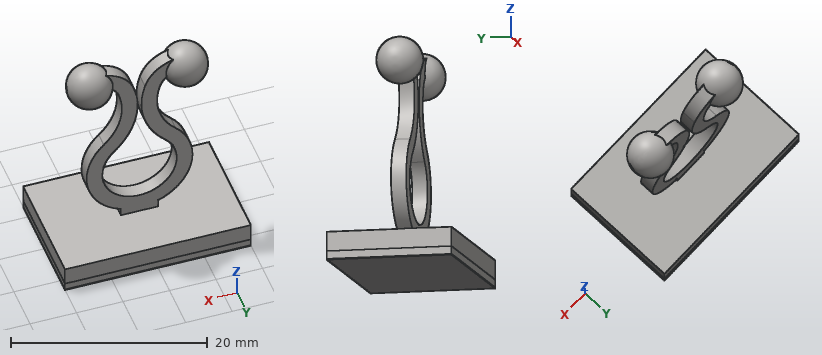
import cadquery as cq
import math

base_length = 20.0
base_width = 13.0
film_thickness = 0.1
foam_thickness = 0.8
plate_thickness = 2.0
foam_bottom = film_thickness
plate_bottom = foam_bottom + foam_thickness
plate_top = plate_bottom + plate_thickness

strip_thickness = 1.7
strip_width = 1.6

loop_inner_radius = 4.0
loop_outer_radius = loop_inner_radius + strip_thickness
loop_clearance = 0.5
loop_centre = (0.0, plate_top + loop_clearance + loop_outer_radius)

throat_gap = 0.4
throat_near_radius = 7.75
throat_far_radius = throat_near_radius - strip_thickness
throat_centre_x = throat_gap / 2 + throat_near_radius
loop_to_throat = loop_inner_radius + throat_near_radius
loop_to_throat_angle = math.degrees(math.acos(throat_centre_x / loop_to_throat))
throat_centre = (
    throat_centre_x,
    loop_centre[1] + math.sqrt(loop_to_throat**2 - throat_centre_x**2),
)

tip_outer_radius = 4.1
tip_inner_radius = tip_outer_radius - strip_thickness
tip_start_angle = 162.0
tip_offset = throat_near_radius - tip_outer_radius
tip_offset_angle = math.radians(tip_start_angle)
tip_centre = (
    throat_centre[0] + tip_offset * math.cos(tip_offset_angle),
    throat_centre[1] + tip_offset * math.sin(tip_offset_angle),
)
tip_end_angle = 80.0

ball_radius = 2.4
ball_x = 5.13
overall_height = 23.6
ball_z = overall_height - ball_radius

stem_length = 4.0


def polar(centre, radius, angle):
    """Point on a circle in the XZ plane, with the angle in degrees from +X."""
    turn = math.radians(angle)
    return (centre[0] + radius * math.cos(turn), centre[1] + radius * math.sin(turn))


def add_arc(outline, centre, radius, start_angle, end_angle):
    """Continue the outline along a circular arc."""
    middle = polar(centre, radius, (start_angle + end_angle) / 2)
    return outline.threePointArc(middle, polar(centre, radius, end_angle))


def slab(bottom, thickness):
    """Rectangular layer of the base."""
    return (
        cq.Workplane("XY")
        .workplane(offset=bottom)
        .rect(base_length, base_width)
        .extrude(thickness)
    )


def make_arm():
    """The +X half of the spring strip, from the bottom of the loop to the tip."""
    loop_bottom = -90.0
    loop_end = loop_to_throat_angle
    throat_start = 180.0 + loop_to_throat_angle
    outline = cq.Workplane("XZ").moveTo(*polar(loop_centre, loop_outer_radius, loop_bottom))
    outline = add_arc(outline, loop_centre, loop_outer_radius, loop_bottom, loop_end)
    outline = add_arc(outline, throat_centre, throat_far_radius, throat_start, tip_start_angle)
    outline = add_arc(outline, tip_centre, tip_inner_radius, tip_start_angle, tip_end_angle)
    outline = outline.lineTo(*polar(tip_centre, tip_outer_radius, tip_end_angle))
    outline = add_arc(outline, tip_centre, tip_outer_radius, tip_end_angle, tip_start_angle)
    outline = add_arc(outline, throat_centre, throat_near_radius, tip_start_angle, throat_start)
    outline = add_arc(outline, loop_centre, loop_inner_radius, loop_end, loop_bottom)
    return outline.close().extrude(strip_width / 2, both=True)


def make_stem():
    """Block that fills from the plate up to the loop, trimmed by the loop opening."""
    stem_height = loop_centre[1] - plate_top
    block = (
        cq.Workplane("XY")
        .workplane(offset=plate_top)
        .rect(stem_length, strip_width)
        .extrude(stem_height)
    )
    opening = (
        cq.Workplane("XZ")
        .center(*loop_centre)
        .circle(loop_inner_radius)
        .extrude(strip_width, both=True)
    )
    return block.cut(opening)


def make_clip():
    """Plate, stem, spring strip and balls as one moulded body."""
    arm = make_arm()
    clip = slab(plate_bottom, plate_thickness).union(make_stem())
    clip = clip.union(arm).union(arm.mirror("YZ"))
    for side in (-1, 1):
        ball = cq.Workplane("XY").sphere(ball_radius).translate((side * ball_x, 0, ball_z))
        clip = clip.union(ball)
    return clip


clip = make_clip()
foam_pad = slab(foam_bottom, foam_thickness)
release_film = slab(0.0, film_thickness)

result = cq.Compound.makeCompound([clip.solids().val(), foam_pad.val(), release_film.val()])